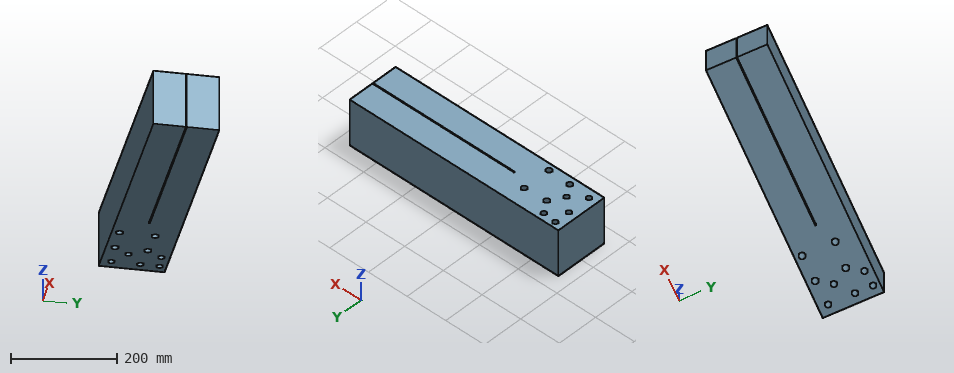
import cadquery as cq

length = 540.0
width = 127.0
height = 116.0

slit_start = 174.0
slit_width = 2.0

small_diameter = 12.5
large_diameter = 13.5

hole_rows = [
    (20.5, small_diameter, (20.5, 76.0, 113.5)),
    (53.5, small_diameter, (47.0, 110.0)),
    (73.5, large_diameter, (17.5, 80.5)),
    (129.0, large_diameter, (15.0, 83.5)),
]


def make_block():
    return cq.Workplane("XY").box(length, width, height, centered=False)


def make_slit():
    slit = cq.Workplane("XY").box(length - slit_start, slit_width, height, centered=False)
    return slit.translate((slit_start, (width - slit_width) / 2, 0))


def make_holes(x, diameter, y_positions):
    centers = [(x, y) for y in y_positions]
    return cq.Workplane("XY").pushPoints(centers).circle(diameter / 2).extrude(height)


result = make_block().cut(make_slit())
for row_x, row_diameter, row_y_positions in hole_rows:
    result = result.cut(make_holes(row_x, row_diameter, row_y_positions))